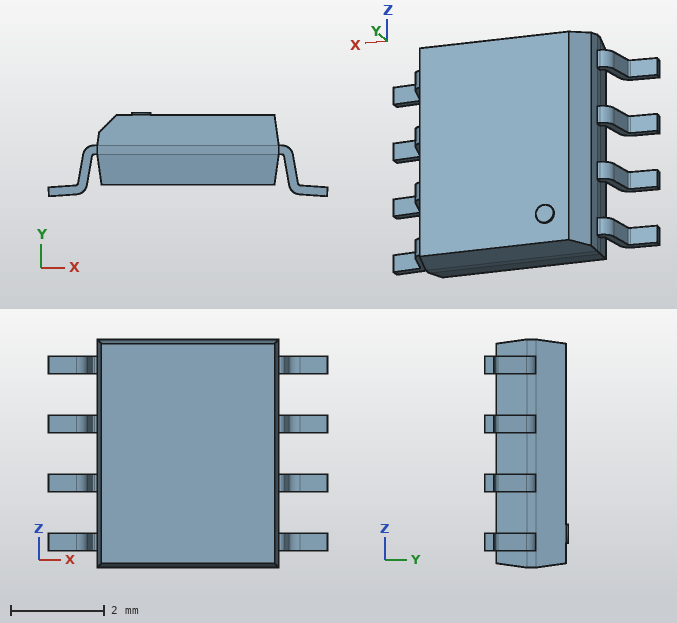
import cadquery as cq
import math

SPAN_X = 6.0
SPAN_Y = 1.8

BODY_X = 3.9
BODY_Y = 1.5
BODY_Z = 4.9
BELT_Y = 0.2
TAPER_ANGLE = 8.0
BEVEL = 0.38
DOT_DIAMETER = 0.4
DOT_HEIGHT = 0.05
DOT_X = -1.0
DOT_Z = -1.72

LEADS_PER_SIDE = 4
LEAD_PITCH = 1.265
LEAD_WIDTH = 0.385
LEAD_THICKNESS = BELT_Y
INNER_BEND_RADIUS = 0.05
SHOULDER_LENGTH = 0.06
LEG_ANGLE = 80.0
FOOT_ANGLE = 4.0

TOP_Y = BODY_Y / 2
TOE_BOTTOM_Y = TOP_Y + DOT_HEIGHT - SPAN_Y


def make_tapered_half(direction):
    """Tapered block from the belt edge to the large face on the +Y (1) or -Y (-1) side."""
    height = (BODY_Y - BELT_Y) / 2
    plane = cq.Plane(origin=(0, direction * BELT_Y / 2, 0), xDir=(1, 0, 0), normal=(0, direction, 0))
    return cq.Workplane(plane).rect(BODY_X, BODY_Z).extrude(height, taper=TAPER_ANGLE)


def make_bevel_cutter():
    """Triangular prism that removes the +Y edge on the -X side."""
    bevel_bottom_y = TOP_Y - BEVEL
    wall_inset = (bevel_bottom_y - BELT_Y / 2) * math.tan(math.radians(TAPER_ANGLE))
    wall_x = -BODY_X / 2 + wall_inset
    return (
        cq.Workplane("XY")
        .moveTo(wall_x - BEVEL, bevel_bottom_y - BEVEL)
        .lineTo(wall_x + 2 * BEVEL, TOP_Y + BEVEL)
        .lineTo(wall_x - BEVEL, TOP_Y + BEVEL)
        .close()
        .extrude(BODY_Z / 2, both=True)
    )


def make_dot():
    """Raised pin-1 dot on the +Y face."""
    plane = cq.Plane(origin=(DOT_X, TOP_Y, DOT_Z), xDir=(1, 0, 0), normal=(0, 1, 0))
    return cq.Workplane(plane).circle(DOT_DIAMETER / 2).extrude(DOT_HEIGHT)


def make_housing():
    belt = cq.Workplane("XY").box(BODY_X, BELT_Y, BODY_Z)
    body = belt.union(make_tapered_half(1)).union(make_tapered_half(-1))
    return body.cut(make_bevel_cutter()).union(make_dot())


def bend_chord(radius, start_angle, end_angle):
    """Vector across an arc that turns between two headings, in degrees below horizontal."""
    length = 2 * radius * math.sin(math.radians(abs(end_angle - start_angle)) / 2)
    heading = math.radians((start_angle + end_angle) / 2)
    return length * math.cos(heading), -length * math.sin(heading)


def make_lead():
    """Lead on the +X side, centred on Z = 0."""
    leg = math.radians(LEG_ANGLE)
    foot = math.radians(FOOT_ANGLE)
    radius = INNER_BEND_RADIUS + LEAD_THICKNESS / 2
    knee_x, knee_y = bend_chord(radius, 0, LEG_ANGLE)
    heel_x, heel_y = bend_chord(radius, LEG_ANGLE, FOOT_ANGLE)

    toe_x = SPAN_X / 2 - LEAD_THICKNESS / 2 * math.sin(foot)
    toe_y = TOE_BOTTOM_Y + LEAD_THICKNESS / 2 * math.cos(foot)
    reach = toe_x - BODY_X / 2 - SHOULDER_LENGTH - knee_x - heel_x
    drop = -toe_y + knee_y + heel_y
    leg_length = (drop * math.cos(foot) - reach * math.sin(foot)) / math.sin(leg - foot)
    foot_length = (reach * math.sin(leg) - drop * math.cos(leg)) / math.sin(leg - foot)

    centreline = (
        cq.Workplane("XY")
        .moveTo(BODY_X / 2, 0)
        .line(SHOULDER_LENGTH, 0)
        .tangentArcPoint((knee_x, knee_y))
        .polarLine(leg_length, -LEG_ANGLE)
        .tangentArcPoint((heel_x, heel_y))
        .polarLine(foot_length, -FOOT_ANGLE)
    )
    section = cq.Workplane("YZ", origin=(BODY_X / 2, 0, 0)).rect(LEAD_THICKNESS, LEAD_WIDTH)
    return section.sweep(centreline)


def make_leads():
    """Matching rows of leads on the +X and -X sides."""
    right_lead = make_lead()
    left_lead = right_lead.mirror("YZ")
    leads = []
    for index in range(LEADS_PER_SIDE):
        z = (index - (LEADS_PER_SIDE - 1) / 2) * LEAD_PITCH
        for lead in (left_lead, right_lead):
            leads.append(lead.translate((0, 0, z)).val())
    return leads


housing = make_housing()
leads = make_leads()

result = cq.Compound.makeCompound([housing.solids().val(), *leads])